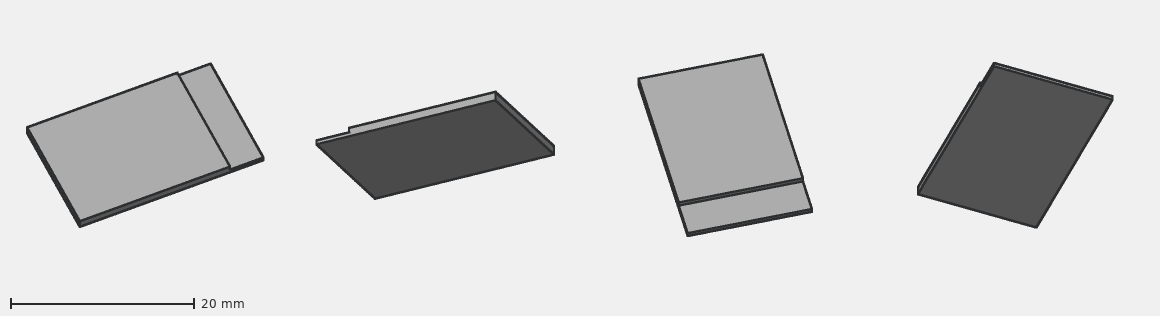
import cadquery as cq

width = 14.0
length = 22.0
total_thickness = 1.05
base_thickness = 0.5
ledge_length = 4.0

cover_length = length - ledge_length
cover_thickness = total_thickness - base_thickness

base = cq.Workplane("XY").box(width, length, base_thickness, centered=False)

cover = (
    cq.Workplane("XY")
    .workplane(offset=base_thickness)
    .box(width, cover_length, cover_thickness, centered=False)
)

result = base.union(cover)